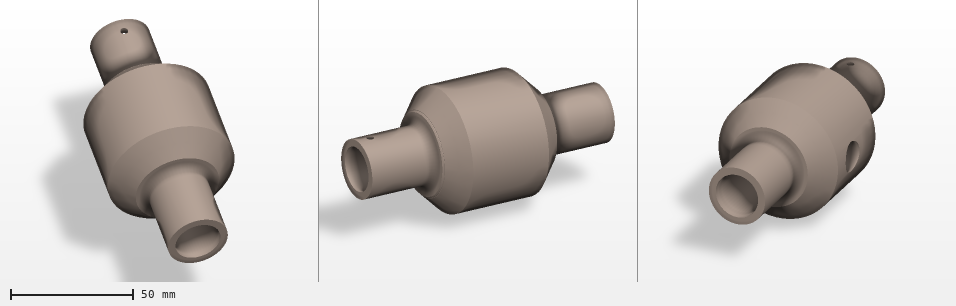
import cadquery as cq
import math

TOTAL_LENGTH = 114.3
BARREL_RADIUS = 54.0 / 2
TUBE_RADIUS = 25.4 / 2
BORE_RADIUS = 19.1 / 2

BODY_LENGTH = 54.2
SHOULDER_LENGTH = 9.3
FILLET_RADIUS = 3.1

SEAT_RADIUS = 36.6 / 2
SEAT_LENGTH = 9.3
RIM_SETBACK = 0.8

PIN_HOLE_DIAMETER = 3.2
PIN_HOLE_INSET = 6.3
PORT_DIAMETER = 13.3
PORT_X = 3.9

END_X = TOTAL_LENGTH / 2
FACE_X = BODY_LENGTH / 2
BARREL_END_X = FACE_X - SHOULDER_LENGTH
FACE_RADIUS = BARREL_RADIUS - SHOULDER_LENGTH
CHAMFER_END_X = FACE_X - (SEAT_RADIUS - FACE_RADIUS)
RIM_X = FACE_X - RIM_SETBACK
RIM_RADIUS = FACE_RADIUS + RIM_SETBACK
SEAT_END_X = FACE_X - SEAT_LENGTH
FILLET_MID_OFFSET = FILLET_RADIUS * (1 - math.sqrt(0.5))


def revolve_about_x(profile):
    return profile.close().revolve(360, (0, 0, 0), (1, 0, 0))


def add_tube_outline(profile, side):
    """From the tube's open end, follow its wall and root fillet to the body's end face."""
    root_x = side * (FACE_X + FILLET_RADIUS)
    middle = (side * (FACE_X + FILLET_MID_OFFSET), TUBE_RADIUS + FILLET_MID_OFFSET)
    return (
        profile.lineTo(side * END_X, TUBE_RADIUS)
        .lineTo(root_x, TUBE_RADIUS)
        .threePointArc(middle, (side * FACE_X, TUBE_RADIUS + FILLET_RADIUS))
        .lineTo(side * FACE_X, FACE_RADIUS)
    )


def make_housing():
    """Barrel with the +X tube, a seat at the -X end and a radial port on +Y."""
    profile = cq.Workplane("XY").moveTo(END_X, BORE_RADIUS)
    profile = (
        add_tube_outline(profile, 1)
        .lineTo(BARREL_END_X, BARREL_RADIUS)
        .lineTo(-BARREL_END_X, BARREL_RADIUS)
        .lineTo(-RIM_X, RIM_RADIUS)
        .lineTo(-RIM_X, SEAT_RADIUS)
        .lineTo(-SEAT_END_X, SEAT_RADIUS)
        .lineTo(-SEAT_END_X, BORE_RADIUS)
    )
    port = cq.Workplane(
        cq.Plane(origin=(PORT_X, 0, 0), xDir=(1, 0, 0), normal=(0, 1, 0))
    ).circle(PORT_DIAMETER / 2).extrude(BARREL_RADIUS)
    return revolve_about_x(profile).cut(port)


def make_end_fitting():
    """The -X tube with its seated flange and a small hole through the upper wall."""
    profile = cq.Workplane("XY").moveTo(-END_X, BORE_RADIUS)
    profile = (
        add_tube_outline(profile, -1)
        .lineTo(-CHAMFER_END_X, SEAT_RADIUS)
        .lineTo(-SEAT_END_X, SEAT_RADIUS)
        .lineTo(-SEAT_END_X, BORE_RADIUS)
    )
    pin_hole = (
        cq.Workplane("XY")
        .center(PIN_HOLE_INSET - END_X, 0)
        .circle(PIN_HOLE_DIAMETER / 2)
        .extrude(TUBE_RADIUS)
    )
    return revolve_about_x(profile).cut(pin_hole)


housing = make_housing()
end_fitting = make_end_fitting()
result = cq.Compound.makeCompound([housing.val(), end_fitting.val()])